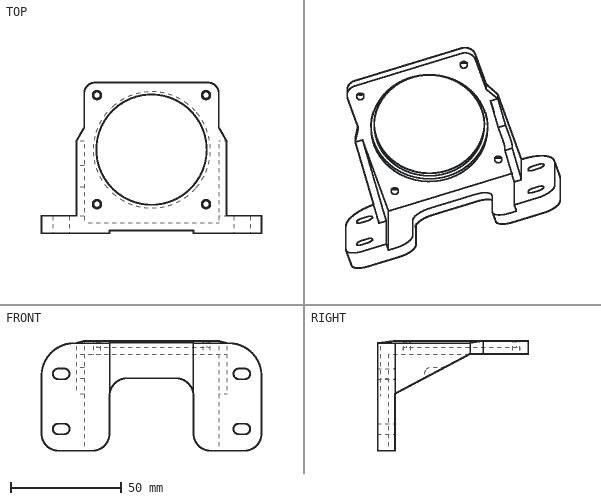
import cadquery as cq

width = 100.0
depth = 68.5
height = 50.0

leg_thickness = 8.0
leg_top = 49.0
leg_top_radius = 15.0
leg_bottom_radius = 8.0
arch_width = 38.0
arch_top = 33.0
arch_radius = 8.0
web_recess = 1.2
rear_pocket_y = 4.8

slot_spacing_x = 82.0
slot_spacing_z = 25.0
slot_lowest_z = 10.0
slot_length = 7.5
slot_height = 4.7

plate_width = 61.2
plate_thickness = 6.0
plate_corner_radius = 5.0
opening_y = 38.0
opening_diameter = 50.0
recess_diameter = 53.0
recess_depth = 3.0
screw_spacing = 49.5
screw_diameter = 3.2
screw_countersink = 4.0

outer_width = 68.2
gusset_end_y = 42.0
gusset_taper_end_y = 48.0
gusset_lowest_z = 26.0
notch_top = 38.1
notch_front_y = 21.2
notch_radius = 3.0

plate_bottom = height - plate_thickness
half_plate = plate_width / 2
half_outer = outer_width / 2
gusset_thickness = half_outer - half_plate


def make_web_relief():
    """Full-height relief that sets the middle of the front face back from the legs."""
    return cq.Workplane("XY").box(arch_width, web_recess, height, centered=(True, False, False))


def make_legs():
    """Upright wall with an arch, rounded feet and shoulders, and a recessed web."""
    wall = cq.Workplane("XY").box(width, leg_thickness, leg_top, centered=(True, False, False))
    wall = wall.edges("|Y and >Z").fillet(leg_top_radius)
    arch = cq.Workplane("XY").box(arch_width, leg_thickness, arch_top, centered=(True, False, False))
    arch = arch.edges("|Y and >Z").fillet(arch_radius)
    wall = wall.cut(arch).edges("|Y and <Z").fillet(leg_bottom_radius)
    slots = (
        cq.Workplane("XZ", origin=(0, 0, slot_lowest_z + slot_spacing_z / 2))
        .rarray(slot_spacing_x, slot_spacing_z, 2, 2)
        .slot2D(slot_length, slot_height)
        .extrude(-leg_thickness)
    )
    return wall.cut(slots)


def make_plate():
    """Flat plate with rounded rear corners, reaching forward to the legs."""
    plate = (
        cq.Workplane("XY", origin=(0, leg_thickness, plate_bottom))
        .box(plate_width, depth - leg_thickness, plate_thickness, centered=(True, False, False))
    )
    return plate.edges("|Z and >Y").fillet(plate_corner_radius)


def make_gusset():
    """Left gusset: a triangular side wall whose rear end tapers into the plate."""
    outline = [
        (-half_plate, leg_thickness),
        (-half_outer, leg_thickness),
        (-half_outer, gusset_end_y),
        (-half_plate, gusset_taper_end_y),
    ]
    profile = [
        (leg_thickness, gusset_lowest_z),
        (gusset_end_y, plate_bottom),
        (gusset_taper_end_y, plate_bottom),
        (gusset_taper_end_y, leg_top),
        (leg_thickness, leg_top),
    ]
    column = cq.Workplane("XY").polyline(outline).close().extrude(height)
    side = cq.Workplane("YZ", origin=(-half_outer, 0, 0)).polyline(profile).close().extrude(gusset_thickness)
    return column.intersect(side)


def make_bevelled_rim():
    """Thin cap sloping from the plate top down to the front face and the gusset sides."""
    side_profile = [
        (0, leg_top),
        (leg_thickness, height),
        (gusset_taper_end_y, height),
        (gusset_taper_end_y, leg_top),
    ]
    front_profile = [
        (-half_outer, leg_top),
        (-half_plate, height),
        (half_plate, height),
        (half_outer, leg_top),
    ]
    outline = [
        (-half_outer, 0),
        (half_outer, 0),
        (half_outer, gusset_end_y),
        (half_plate, gusset_taper_end_y),
        (-half_plate, gusset_taper_end_y),
        (-half_outer, gusset_end_y),
    ]
    along_x = cq.Workplane("YZ").polyline(side_profile).close().extrude(half_outer, both=True)
    along_y = cq.Workplane("XZ").polyline(front_profile).close().extrude(-gusset_taper_end_y)
    along_z = cq.Workplane("XY").polyline(outline).close().extrude(height)
    return along_x.intersect(along_y).intersect(along_z)


def make_openings():
    """Round plate opening, wider underneath, and four countersunk screw holes."""
    opening = (
        cq.Workplane("XY", origin=(0, opening_y, plate_bottom))
        .circle(opening_diameter / 2)
        .extrude(plate_thickness)
    )
    recess = (
        cq.Workplane("XY", origin=(0, opening_y, plate_bottom))
        .circle(recess_diameter / 2)
        .extrude(recess_depth)
    )
    flare = (screw_countersink - screw_diameter) / 2
    screw_profile = [
        (0, 0),
        (screw_countersink / 2, 0),
        (screw_diameter / 2, -flare),
        (screw_diameter / 2, -plate_thickness),
        (0, -plate_thickness),
    ]
    screw = cq.Workplane("XZ").polyline(screw_profile).close().revolve(360, (0, 0), (0, 1))
    cutter = opening.union(recess)
    for x in (-screw_spacing / 2, screw_spacing / 2):
        for y in (opening_y - screw_spacing / 2, opening_y + screw_spacing / 2):
            cutter = cutter.union(screw.translate((x, y, height)))
    return cutter


def make_rear_pocket():
    """Relief in the rear of the legs, below the plate and between the gussets."""
    return cq.Workplane("XY", origin=(0, rear_pocket_y, 0)).box(
        plate_width, leg_thickness - rear_pocket_y, plate_bottom, centered=(True, False, False)
    )


def make_cable_notch():
    """Passage through the sloping edge of the left gusset, rounded at its top front corner."""
    notch = cq.Workplane("XY", origin=(-half_outer, notch_front_y, 0)).box(
        gusset_thickness, gusset_end_y - notch_front_y, notch_top, centered=False
    )
    return notch.edges("|X and >Z and <Y").fillet(notch_radius)


left_gusset = make_gusset()
right_gusset = left_gusset.mirror("YZ")

result = (
    make_legs()
    .union(make_plate())
    .union(left_gusset.cut(make_cable_notch()))
    .union(right_gusset)
    .union(make_bevelled_rim())
    .cut(make_web_relief())
    .cut(make_rear_pocket())
    .cut(make_openings())
)